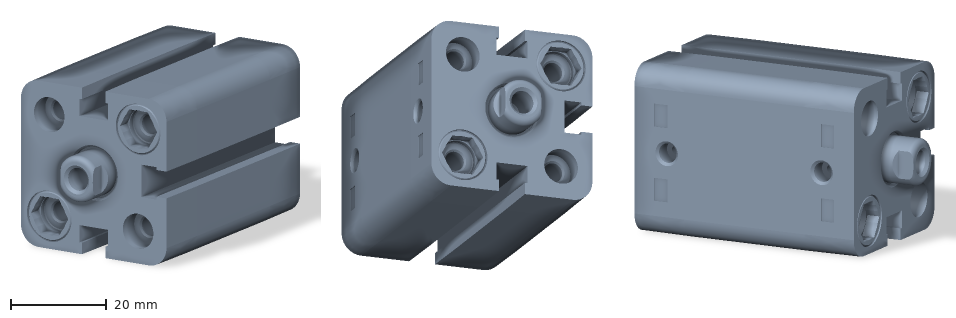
import cadquery as cq
import math


total_length = 58.6
section_size = 36.3
corner_radius = 4.45
front_cap_length = 11.65
barrel_length = 28.4
rear_cap_length = 11.85
body_length = front_cap_length + barrel_length + rear_cap_length
rod_length = total_length - body_length
cap_draft = 0.5

slot_mouth_width = 5.8
slot_inner_width = 7.05
slot_lip = 2.6
slot_depth = 6.3

screw_offset = 11.0
tapped_diameter = 4.15
thread_diameter = 4.9
fastening_depth = 4.4
counterbore_diameter = 7.55

head_pocket_diameter = 11.1
head_pocket_depth = 0.5
head_diameter = 10.8
head_face_diameter = 10.2
head_recess = 0.1
hexagon_flats = 8.0
hexagon_depth = 2.95
socket_relief_diameter = 8.2
socket_diameter = 7.95
socket_floor_diameter = 7.55

rod_diameter = 10.0
rod_tip_diameter = 7.55
rod_flats = 8.0
rod_flat_length = 3.45
rod_bore_rim = 6.2
rod_bore_depth = 8.8
rod_seat_diameter = 11.1
rod_seat_rim = 11.95
rod_seat_depth = 1.0

port_rim_diameter = 5.4
port_depth = 4.1
port_passage_diameter = 1.75
port_passage_depth = 7.05
front_port_y = 7.55
rear_port_y = body_length - 7.7

label_length = 4.9
label_width = 3.05
label_depth = 0.25
label_offset = 7.95
front_label_y = 6.2
rear_label_y = body_length - 6.3

half_section = section_size / 2


def plane_facing_rear(y, x=0, z=0):
    """Sketch plane at depth y whose extrusions run towards the rear (+Y)."""
    return cq.Workplane(cq.Plane(origin=(x, y, z), xDir=(1, 0, 0), normal=(0, 1, 0)))


def cylinder(diameter, start, end, x=0, z=0):
    return plane_facing_rear(start, x, z).circle(diameter / 2).extrude(end - start)


def cone(start_diameter, end_diameter, start, end, x=0, z=0):
    profile = plane_facing_rear(start, x, z).circle(start_diameter / 2)
    return profile.workplane(offset=end - start).circle(end_diameter / 2).loft()


def rounded_square(y, direction):
    plane = cq.Plane(origin=(0, y, 0), xDir=(1, 0, 0), normal=(0, direction, 0))
    outline = cq.Sketch().rect(section_size, section_size).vertices().fillet(corner_radius)
    return cq.Workplane(plane).placeSketch(outline)


def make_body():
    rear_seam = front_cap_length + barrel_length
    barrel = rounded_square(front_cap_length, 1).extrude(barrel_length)
    front_cap = rounded_square(front_cap_length, -1).extrude(front_cap_length, taper=cap_draft)
    rear_cap = rounded_square(rear_seam, 1).extrude(rear_cap_length, taper=cap_draft)
    return barrel.union(front_cap).union(rear_cap)


def make_slot():
    """T-shaped sensor groove along the whole top face."""
    mouth = cq.Workplane().box(slot_mouth_width, body_length, slot_lip, centered=(True, False, False))
    mouth = mouth.translate((0, 0, half_section - slot_lip))
    inner_height = slot_depth - slot_lip
    inner = cq.Workplane().box(slot_inner_width, body_length, inner_height, centered=(True, False, False))
    return mouth.union(inner.translate((0, 0, half_section - slot_depth)))


def make_through_hole(x, z):
    """Hole through the body with a countersink at the seat of the fastening."""
    lead_in = thread_diameter - tapped_diameter
    hole = cylinder(tapped_diameter, 0, body_length, x, z)
    countersink_end = fastening_depth + lead_in / 2
    return hole.union(cone(thread_diameter, tapped_diameter, fastening_depth, countersink_end, x, z))


def make_counterbored_hole(x, z):
    return make_through_hole(x, z).union(cylinder(counterbore_diameter, 0, fastening_depth, x, z))


def make_screw_socket(x, z):
    """Chamfered screw head in its pocket, with a hexagon socket above a round one."""
    corner_diameter = hexagon_flats / math.cos(math.pi / 6)
    hexagon = plane_facing_rear(0, x, z).polygon(6, corner_diameter).extrude(hexagon_depth)
    relief = cylinder(socket_relief_diameter, 0, hexagon_depth, x, z)
    cone_start = fastening_depth - (socket_diameter - socket_floor_diameter) / 2
    socket = cylinder(socket_diameter, 0, cone_start, x, z)
    socket_floor = cone(socket_diameter, socket_floor_diameter, cone_start, fastening_depth, x, z)
    pocket = cylinder(head_pocket_diameter, 0, head_pocket_depth, x, z)
    head = cone(head_face_diameter, head_diameter, head_recess, head_pocket_depth, x, z)
    hollow = make_through_hole(x, z).union(hexagon).union(relief).union(socket).union(socket_floor)
    return pocket.cut(head).union(hollow)


def make_port(y):
    side = cq.Workplane(cq.Plane(origin=(-half_section, y, 0), xDir=(0, 1, 0), normal=(1, 0, 0)))
    chamfer = (port_rim_diameter - tapped_diameter) / 2
    rim = side.circle(port_rim_diameter / 2).workplane(offset=chamfer).circle(tapped_diameter / 2).loft()
    bore = side.circle(tapped_diameter / 2).extrude(port_depth)
    passage = side.circle(port_passage_diameter / 2).extrude(port_passage_depth)
    return rim.union(bore).union(passage)


def make_label_field(y, z):
    return cq.Workplane().box(2 * label_depth, label_width, label_length).translate((-half_section, y, z))


def make_rod():
    tip_radius = (rod_diameter - rod_tip_diameter) / 2
    rod = cylinder(rod_diameter, -rod_length, rod_seat_depth)
    rod = rod.faces("<Y").edges().fillet(tip_radius)
    flat_end = rod_flat_length - rod_length
    flat_height = (rod_diameter - rod_flats) / 2
    for side in (-1, 1):
        wrench_flat = (
            cq.Workplane()
            .moveTo(side * rod_flats / 2, -rod_length)
            .lineTo(side * rod_flats / 2, flat_end)
            .lineTo(side * rod_diameter / 2, flat_end + flat_height)
            .lineTo(side * rod_diameter / 2, -rod_length)
            .close()
            .extrude(rod_diameter / 2, both=True)
        )
        rod = rod.cut(wrench_flat)
    return rod


def make_rod_bore():
    """Threaded blind hole in the rod tip."""
    chamfer = (rod_bore_rim - thread_diameter) / 2
    run_out = (thread_diameter - tapped_diameter) / 2
    bore_end = rod_bore_depth - rod_length
    rim = cone(rod_bore_rim, thread_diameter, -rod_length, chamfer - rod_length)
    bore = cylinder(thread_diameter, -rod_length, bore_end)
    return rim.union(bore).union(cone(thread_diameter, tapped_diameter, bore_end, bore_end + run_out))


def make_rod_seat():
    rim_depth = (rod_seat_rim - rod_seat_diameter) / 2
    rim = cone(rod_seat_rim, rod_seat_diameter, 0, rim_depth)
    return rim.union(cylinder(rod_seat_diameter, 0, rod_seat_depth))


body = make_body()

for angle in (0, 90, 180):
    body = body.cut(make_slot().rotate((0, 0, 0), (0, 1, 0), angle))

for side in (-1, 1):
    body = body.cut(make_counterbored_hole(side * screw_offset, -side * screw_offset))
    body = body.cut(make_screw_socket(side * screw_offset, side * screw_offset))

for port_y, label_y in ((front_port_y, front_label_y), (rear_port_y, rear_label_y)):
    body = body.cut(make_port(port_y))
    for side in (-1, 1):
        body = body.cut(make_label_field(label_y, side * label_offset))

result = body.cut(make_rod_seat()).union(make_rod()).cut(make_rod_bore())